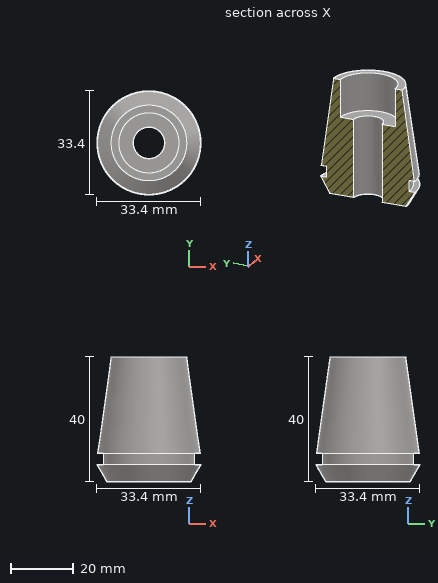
import cadquery as cq
import math

total_height = 40.0

flange_bottom_diameter = 27.0
flange_height = 5.5
flange_half_angle = 30.0

groove_diameter = 29.2
groove_width = 3.6

taper_top_diameter = 24.25
taper_half_angle = 8.0

through_bore_diameter = 10.0
counterbore_diameter = 19.25
counterbore_depth = 13.0

taper_base_z = flange_height + groove_width
taper_height = total_height - taper_base_z
flange_bottom_radius = flange_bottom_diameter / 2
flange_radius = flange_bottom_radius + flange_height * math.tan(math.radians(flange_half_angle))
groove_radius = groove_diameter / 2
taper_top_radius = taper_top_diameter / 2
taper_base_radius = taper_top_radius + taper_height * math.tan(math.radians(taper_half_angle))


def make_body():
    """Solid of revolution about Z: flange cone, groove and main taper."""
    half_profile = (
        cq.Workplane("YZ")
        .moveTo(0, 0)
        .lineTo(flange_bottom_radius, 0)
        .lineTo(flange_radius, flange_height)
        .lineTo(groove_radius, flange_height)
        .lineTo(groove_radius, taper_base_z)
        .lineTo(taper_base_radius, taper_base_z)
        .lineTo(taper_top_radius, total_height)
        .lineTo(0, total_height)
        .close()
    )
    return half_profile.revolve(360, (0, 0, 0), (0, 1, 0))


def cut_stepped_bore(body):
    """Through bore with a wide flat-bottomed counterbore from the top face."""
    top_face = body.faces(">Z").workplane(origin=(0, 0, total_height))
    return top_face.cboreHole(through_bore_diameter, counterbore_diameter, counterbore_depth)


result = cut_stepped_bore(make_body())